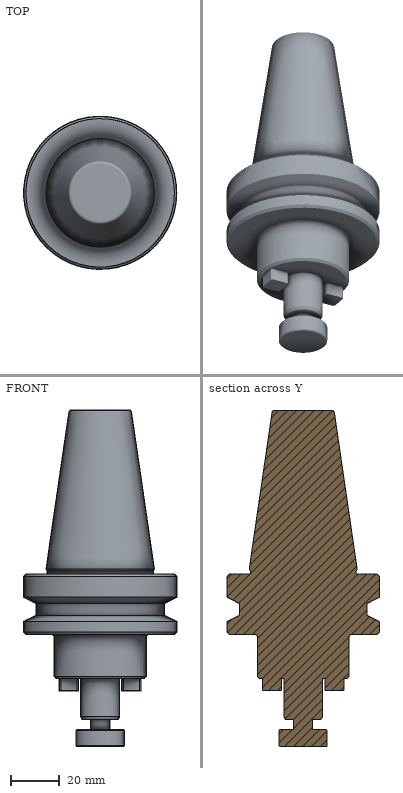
import cadquery as cq
import math

total_height = 138.4
head_top = 7.0
spigot_bottom = 11.1
body_bottom = 28.0
flange_bottom = 46.1
lower_rim_top = 51.5
groove_bottom = 54.0
groove_top = 58.8
upper_rim_bottom = 61.5
flange_top = 71.0
gauge_line = 73.1

head_radius = 10.0
neck_radius = 4.0
spigot_radius = 8.0
body_radius = 19.0
flange_radius = 63.0 / 2
groove_radius = 26.5
relief_radius = 21.9
gauge_radius = 22.3
taper_ratio = 7 / 24
taper_top_radius = gauge_radius - (total_height - gauge_line) * taper_ratio / 2

head_chamfer = 0.4
spigot_chamfer_width = 0.7
spigot_chamfer_height = 1.2
edge_chamfer = 1.0
body_root_fillet = 1.1
relief_height = 1.2
taper_top_fillet = 1.1

key_width = 8.0
key_inner_x = 8.9
key_outer_x = 16.9
key_height = 5.0
key_chamfer = 0.7


def turned_profile():
    """Half outline of the body of revolution: radius along X, height along Y."""
    fillet_middle = body_root_fillet * (1 - math.sqrt(0.5))
    return (
        cq.Workplane("XZ")
        .moveTo(0, 0)
        .lineTo(head_radius - head_chamfer, 0)
        .lineTo(head_radius, head_chamfer)
        .lineTo(head_radius, head_top - head_chamfer)
        .lineTo(head_radius - head_chamfer, head_top)
        .lineTo(neck_radius, head_top)
        .lineTo(neck_radius, spigot_bottom)
        .lineTo(spigot_radius - spigot_chamfer_width, spigot_bottom)
        .lineTo(spigot_radius, spigot_bottom + spigot_chamfer_height)
        .lineTo(spigot_radius, body_bottom)
        .lineTo(body_radius - edge_chamfer, body_bottom)
        .lineTo(body_radius, body_bottom + edge_chamfer)
        .lineTo(body_radius, flange_bottom - body_root_fillet)
        .threePointArc(
            (body_radius + fillet_middle, flange_bottom - fillet_middle),
            (body_radius + body_root_fillet, flange_bottom),
        )
        .lineTo(flange_radius - edge_chamfer, flange_bottom)
        .lineTo(flange_radius, flange_bottom + edge_chamfer)
        .lineTo(flange_radius, lower_rim_top)
        .lineTo(groove_radius, groove_bottom)
        .lineTo(groove_radius, groove_top)
        .lineTo(flange_radius, upper_rim_bottom)
        .lineTo(flange_radius, flange_top - edge_chamfer)
        .lineTo(flange_radius - edge_chamfer, flange_top)
        .lineTo(relief_radius, flange_top)
        .lineTo(relief_radius, flange_top + relief_height)
        .lineTo(gauge_radius, gauge_line)
        .lineTo(taper_top_radius, total_height)
        .lineTo(0, total_height)
        .close()
    )


def drive_key(side):
    """Key under the body on the +X (side=1) or -X (side=-1) side."""
    length = key_outer_x - key_inner_x
    middle_x = side * (key_inner_x + key_outer_x) / 2
    return (
        cq.Workplane("XY", origin=(middle_x, 0, body_bottom - key_height))
        .rect(length, key_width)
        .extrude(key_height + edge_chamfer)
        .edges("|Z")
        .chamfer(key_chamfer)
    )


result = turned_profile().revolve(360, (0, 0, 0), (0, 1, 0))
result = result.faces(">Z").edges().fillet(taper_top_fillet)
for side in (-1, 1):
    result = result.union(drive_key(side))